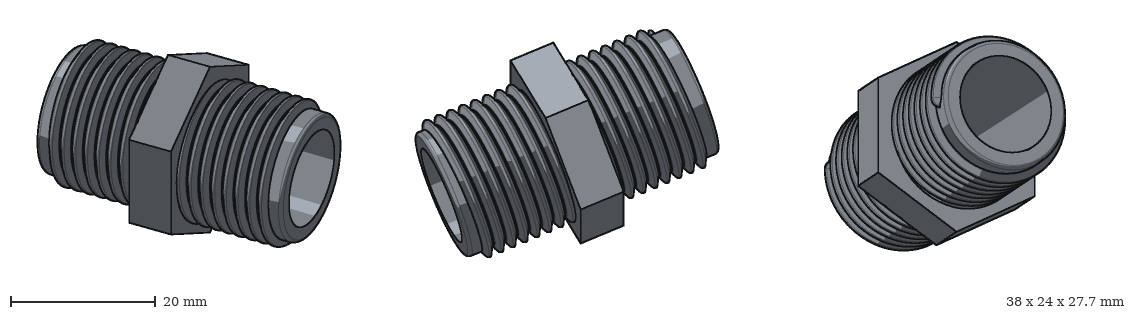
import cadquery as cq
import math

total_length = 38.0
hex_width = 6.5
hex_across_flats = 24.0
bore_diameter = 14.0
end_fillet = 0.5

thread_pitch = 25.4 / 14
flank_angle = math.radians(27.5)
crest_radius = 20.955 / 2
thread_depth = 0.640327 * thread_pitch
root_radius = crest_radius - thread_depth
crest_rounding = 0.137329 * thread_pitch
root_rounding = 0.2

thread_start = 17.1
root_sink = 0.02
base_sink = 0.1
ridge_foot_radius = root_radius - root_sink
ridge_base_radius = root_radius - base_sink
shared_face_tolerance = 0.001
thread_turns = math.ceil((thread_start - hex_width / 2) / thread_pitch)

flank_cosine = math.cos(flank_angle)
rounding_height_factor = 1 - math.sin(flank_angle)
flank_top_radius = crest_radius - crest_rounding * rounding_height_factor
flank_foot_radius = ridge_foot_radius + root_rounding * rounding_height_factor
flank_top_half_width = crest_rounding * flank_cosine
flank_width = (flank_top_radius - flank_foot_radius) * math.tan(flank_angle)
flank_foot_half_width = flank_top_half_width + flank_width
ridge_half_width = flank_foot_half_width + root_rounding * flank_cosine


def make_half_barrel():
    """Cylinder at the thread root, from the middle of the part to its rounded -X end."""
    barrel = cq.Workplane("YZ").circle(root_radius).extrude(-total_length / 2)
    return barrel.faces("<X").edges().fillet(end_fillet)


def make_half_hexagon():
    """-X half of the hexagon, with corners on the Z axis and flats facing +Y and -Y."""
    across_corners = hex_across_flats / math.cos(math.radians(30))
    hexagon = cq.Workplane("YZ").polygon(6, across_corners).extrude(-hex_width / 2)
    return hexagon.rotate((0, 0, 0), (1, 0, 0), 90)


def ridge_profile():
    """Section of the thread ridge in the XY plane, at the outer end of the -X thread."""
    return (
        cq.Workplane("XY", origin=(-thread_start, 0, 0))
        .moveTo(-ridge_half_width, ridge_base_radius)
        .lineTo(-ridge_half_width, ridge_foot_radius)
        .radiusArc((-flank_foot_half_width, flank_foot_radius), -root_rounding)
        .lineTo(-flank_top_half_width, flank_top_radius)
        .threePointArc((0, crest_radius), (flank_top_half_width, flank_top_radius))
        .lineTo(flank_foot_half_width, flank_foot_radius)
        .radiusArc((ridge_half_width, ridge_foot_radius), -root_rounding)
        .lineTo(ridge_half_width, ridge_base_radius)
        .close()
    )


def make_thread():
    """Right-hand ridge of the -X thread, with a rounded runout at its outer end."""
    helix = cq.Wire.makeHelix(thread_pitch, thread_turns * thread_pitch, ridge_base_radius)
    helix = helix.rotate(cq.Vector(0, 0, 0), cq.Vector(1, 1, 1), 120)
    helix = helix.translate(cq.Vector(-thread_start, 0, 0))
    ridge = ridge_profile().sweep(cq.Workplane(obj=helix), isFrenet=True)

    runout = ridge_profile().revolve(90, (1, ridge_base_radius), (-1, ridge_base_radius))

    section = cq.Face.makeFromWires(ridge_profile().val())
    skin = [
        face
        for body in (ridge, runout)
        for face in body.faces().vals()
        if (face.Center() - section.Center()).Length > shared_face_tolerance
    ]
    return cq.Workplane(obj=cq.Solid.makeSolid(cq.Shell.makeShell(skin)))


def make_half_bore():
    """Plain hole through the -X half."""
    return cq.Workplane("YZ").circle(bore_diameter / 2).extrude(-total_length / 2)


half_barrel = make_half_barrel().cut(make_half_bore())
left_half = half_barrel.union(make_thread()).union(make_half_hexagon().cut(make_half_bore()))
right_half = left_half.rotate((0, 0, 0), (0, 1, 0), 180)
result = left_half.union(right_half).solids()